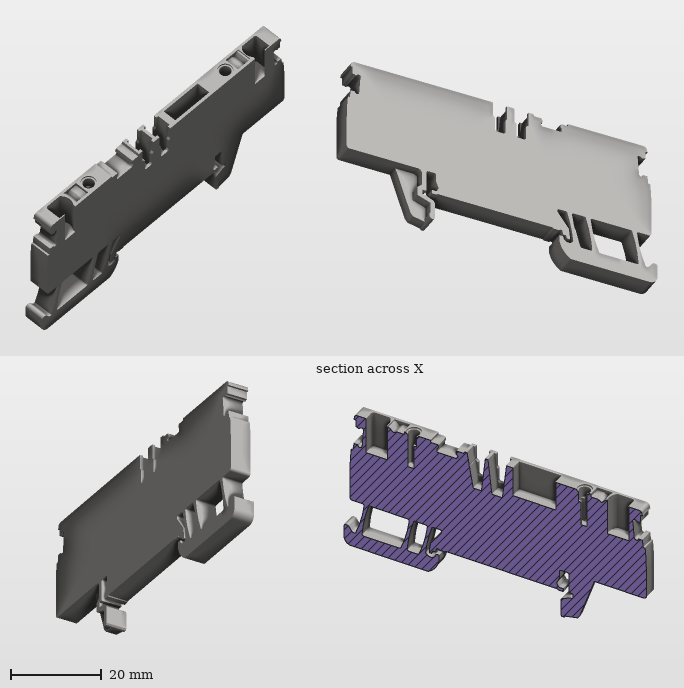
import cadquery as cq
THICKNESS = 5.1
HEIGHT = 36.1
FOOT_END_Y = -38.5
BODY_CENTRE_Y = 0.8
BODY_HALF_LENGTH = 37.75
BODY_BOTTOM_Z = 12.5
BODY_CORNER_RADIUS = 0.7
RAIL_FACE_Z = 7.1
OVERLAP = 0.8

SLOT_FLOOR_Z = 28.6
SLOT_POCKET_FLOOR_Z = 27.05
SLOT_STEP_Z = 32.6
SLOT_POCKET_HALF_WIDTH = 1.8
SLOT_SHAPES = [
    ((-1.15, 2.2), (-0.8, 1.8), (-1.8, 2.85), (-0.8, 1.8)),
    ((-6.55, -3.1), (-5.85, -3.55), (-7.1, -2.55), (-5.55, -3.55)),
]
SLOT_CORNER = 0.3
SLOT_STEP_DROP = 0.5

MARKER_Y_RANGE = (4.6, 15.4)
MARKER_HALF_WIDTH = 1.8
MARKER_DEPTH = 7.55

WIRING_CENTRE_Y = 0.6
WIRE_OUTER = 33.35
WIRE_INNER = 29.0
WIRE_BULGE = 28.0
WIRE_NEAR_X = -1.9
WIRE_FAR_X = 2.3
WIRE_CORNER_RADIUS = 0.55
WIRE_DEPTH = 9.25
WALL_GAP_RANGE = (28.6, 31.8)

RECESS_RANGE = (23.8, 27.8)
RECESS_HALF_WIDTH = 1.89
RECESS_DEPTH = 0.8
GROOVE_START = 25.6
GROOVE_BOTTOM = 26.5
GROOVE_END = 27.4
GROOVE_DEPTH = 1.3
OUTER_STEP_DEPTH = 0.4
SCREW_DISTANCE = 21.7
SCREW_MOUTH_RADIUS = 1.8
SCREW_MOUTH_DEPTH = 0.4
SCREW_RADIUS = 1.4
SCREW_DEPTH = 9.25
POST_TOP_DEPTH = 3.1
POST_HALF_GAP = 0.55
POST_SETBACK = 0.4

FOOT_TOP_Z = 3.85
LEG_OFFSETS = (0, -4.6, -16.1)
CHANNEL_Y = -16.4
CHANNEL_Z = 5.55
CHANNEL_RADIUS = 1.3
WINDOW_CORNER_RADIUS = 0.4

WEB_THICKNESS = 2.8


def plate(outline):
    """Extrude a closed YZ outline over the full thickness."""
    return outline.close().extrude(THICKNESS / 2, both=True)


def sketch(start_y, start_z):
    return cq.Workplane("YZ").moveTo(start_y, start_z)


def polygon_plate(points):
    return plate(cq.Workplane("YZ").polyline(points))


def box_between(x_range, y_range, z_range):
    size = [high - low for low, high in (x_range, y_range, z_range)]
    corner = [low for low, high in (x_range, y_range, z_range)]
    return cq.Workplane("XY").box(*size, centered=False).translate(tuple(corner))


def at_both_ends(shape, centre_y):
    """Repeat a shape drawn on the +Y side of a centre plane on both sides of that plane."""
    mirrored = shape.mirror("XZ")
    return shape.union(mirrored).translate((0, centre_y, 0))


def body_plate():
    """Main housing: one half, drawn outward from the body centre, repeated on both ends."""
    half = plate(
        sketch(0, HEIGHT)
        .lineTo(35.75, HEIGHT)
        .threePointArc((36.5, 35.75), (36.7, 35.2))
        .lineTo(36.8, 34.75)
        .lineTo(36.3, 34.75)
        .lineTo(36.3, 32.9)
        .lineTo(35.75, 32.8)
        .lineTo(35.5, 32.6)
        .lineTo(35.2, 32.8)
        .threePointArc((34.6, 33.05), (34.35, 32.3))
        .lineTo(34.7, 28.2)
        .threePointArc((35.1, 27.7), (35.7, 28.3))
        .lineTo(36.75, 28.3)
        .lineTo(37.0, 26.35)
        .lineTo(37.45, 26.35)
        .threePointArc((37.7, 23.5), (BODY_HALF_LENGTH, 20.65))
        .lineTo(BODY_HALF_LENGTH, BODY_BOTTOM_Z)
        .lineTo(0, BODY_BOTTOM_Z)
    )
    half = half.edges("|X").edges(">Y").edges("<Z").fillet(BODY_CORNER_RADIUS)
    return at_both_ends(half, BODY_CENTRE_Y)


def rail_seat():
    """Block under the body with a lip on one side and a hooked tooth on the other."""
    top = BODY_BOTTOM_Z + OVERLAP
    return polygon_plate([
        (16.4, top), (16.4, 10.3), (15.7, 8.7), (16.25, 7.8), (17.4, 7.8), (17.4, 6.85),
        (16.1, 6.85), (15.95, RAIL_FACE_Z), (-12.55, RAIL_FACE_Z), (-12.8, 6.85), (-14.2, 6.85),
        (-14.4, RAIL_FACE_Z), (-14.9, RAIL_FACE_Z), (-15.1, 6.0), (-15.8, 6.0), (-16.1, 5.25),
        (-16.8, 5.25), (-16.7, 6.55), (-16.5, 8.0), (-13.7, 11.7), (-13.7, top),
    ])


def foot():
    """Foot bar with a rounded heel, a round channel under the tooth and an end lip."""
    bar = plate(
        sketch(-14.2, CHANNEL_Z)
        .lineTo(-14.2, 4.0)
        .threePointArc((-15.1, 1.85), (-17.0, 0))
        .lineTo(-36.7, 0)
        .threePointArc((-38.0, 0.6), (FOOT_END_Y, 1.9))
        .lineTo(FOOT_END_Y, 4.9)
        .threePointArc((-37.75, 5.4), (-37.05, 4.9))
        .lineTo(-36.5, 4.2)
        .threePointArc((-35.8, FOOT_TOP_Z), (-35.05, 4.4))
        .lineTo(-34.4, 4.4)
        .lineTo(-34.4, FOOT_TOP_Z)
        .lineTo(-17.9, FOOT_TOP_Z)
        .lineTo(-17.9, CHANNEL_Z)
    )
    channel = plate_circle(CHANNEL_Y, CHANNEL_Z, CHANNEL_RADIUS)
    return bar.cut(channel)


def plate_circle(y, z, radius):
    return cq.Workplane("YZ").center(y, z).circle(radius).extrude(THICKNESS / 2, both=True)


def leg(offset):
    """Curved spring leg between the body and the foot."""
    return plate(
        sketch(offset - 16.0, BODY_BOTTOM_Z + OVERLAP)
        .lineTo(offset - 16.0, BODY_BOTTOM_Z)
        .threePointArc((offset - 17.2, 8.1), (offset - 17.7, FOOT_TOP_Z))
        .lineTo(offset - 17.7, FOOT_TOP_Z - OVERLAP)
        .lineTo(offset - 19.5, FOOT_TOP_Z - OVERLAP)
        .lineTo(offset - 19.5, FOOT_TOP_Z)
        .threePointArc((offset - 17.95, 8.5), (offset - 17.25, BODY_BOTTOM_Z))
        .lineTo(offset - 17.25, BODY_BOTTOM_Z + OVERLAP)
    )


def clip():
    """Rail clip: cranked strip over the full thickness, with a web on its outer side."""
    top = BODY_BOTTOM_Z + OVERLAP
    strip = plate(
        sketch(20.8, top)
        .lineTo(20.8, BODY_BOTTOM_Z)
        .threePointArc((20.2, 12.2), (19.9, 11.55))
        .lineTo(19.9, 8.4)
        .lineTo(21.0, 7.5)
        .lineTo(21.0, 5.3)
        .lineTo(17.8, 4.15)
        .lineTo(17.8, 1.55)
        .lineTo(18.0, 1.2)
        .lineTo(18.0, 0.55)
        .lineTo(17.6, 0)
        .lineTo(16.95, 0)
        .lineTo(16.65, 0.4)
        .lineTo(16.65, 4.15)
        .threePointArc((16.9, 4.8), (17.5, 5.2))
        .lineTo(18.95, 5.85)
        .lineTo(19.7, 5.9)
        .lineTo(19.7, 7.1)
        .lineTo(18.7, 7.1)
        .lineTo(18.7, top)
    )
    web = (
        cq.Workplane("YZ", origin=(THICKNESS / 2, 0, 0))
        .polyline([
            (25.3, top), (25.3, BODY_BOTTOM_Z), (21.6, 1.8), (20.95, 1.0), (17.95, 0.4),
            (17.7, 4.15), (20.8, 5.4), (20.8, 7.5), (19.65, 8.5), (19.65, top),
        ])
        .close()
        .extrude(-WEB_THICKNESS)
    )
    return strip.union(web)


def slot(upper_range, lower_range, mouth_range, floor_range):
    """Bridge slot: stepped through the side walls, tapered and wider between them."""
    upper_minus, upper_plus = upper_range
    lower_minus, lower_plus = lower_range
    mouth_minus, mouth_plus = mouth_range
    floor_minus, floor_plus = floor_range
    top = HEIGHT + OVERLAP
    through = polygon_plate([
        (upper_plus, top), (upper_plus, SLOT_STEP_Z),
        (lower_plus, SLOT_STEP_Z - SLOT_STEP_DROP), (lower_plus, SLOT_FLOOR_Z + SLOT_CORNER),
        (lower_plus - SLOT_CORNER, SLOT_FLOOR_Z), (lower_minus + SLOT_CORNER, SLOT_FLOOR_Z),
        (lower_minus, SLOT_FLOOR_Z + SLOT_CORNER), (lower_minus, SLOT_STEP_Z - SLOT_STEP_DROP),
        (upper_minus, SLOT_STEP_Z), (upper_minus, top),
    ])
    pocket = (
        cq.Workplane("YZ")
        .polyline([
            (mouth_plus, HEIGHT), (floor_plus, SLOT_POCKET_FLOOR_Z),
            (floor_minus, SLOT_POCKET_FLOOR_Z), (mouth_minus, HEIGHT),
        ])
        .close()
        .extrude(SLOT_POCKET_HALF_WIDTH, both=True)
    )
    return through.union(pocket)


def snap_groove():
    """Undercut groove in the top with a shallow step on each side."""
    step_z = 35.6
    return polygon_plate([
        (-7.7, HEIGHT), (-8.0, step_z), (-9.8, step_z), (-10.1, 34.75), (-9.55, 34.2),
        (-9.55, 33.9), (-9.9, 33.5), (-14.7, 33.5), (-14.7, 34.4), (-14.4, 34.7),
        (-14.4, 35.35), (-14.6, step_z), (-16.3, step_z), (-16.3, HEIGHT),
    ])


def wire_opening():
    """Funnel with a bulged inner end, open through a gap in the +X wall."""
    funnel = (
        cq.Workplane("XY", origin=(0, 0, HEIGHT))
        .moveTo(WIRE_FAR_X, WIRE_OUTER)
        .lineTo(WIRE_NEAR_X, WIRE_OUTER)
        .lineTo(WIRE_NEAR_X, WIRE_INNER)
        .threePointArc(((WIRE_NEAR_X + WIRE_FAR_X) / 2, WIRE_BULGE), (WIRE_FAR_X, WIRE_INNER))
        .close()
        .extrude(-WIRE_DEPTH)
        .edges("|Z")
        .edges(">Y")
        .edges("<X")
        .fillet(WIRE_CORNER_RADIUS)
    )
    gap = box_between((0, THICKNESS / 2), WALL_GAP_RANGE, (HEIGHT - WIRE_DEPTH, HEIGHT))
    return funnel.union(gap)


def stepped_recess():
    """Shallow recess with a V groove across its outer part."""
    inner, outer = RECESS_RANGE
    floor = HEIGHT - RECESS_DEPTH
    return (
        cq.Workplane("YZ")
        .polyline([
            (inner, HEIGHT), (inner, floor), (GROOVE_START, floor),
            (GROOVE_BOTTOM, HEIGHT - GROOVE_DEPTH), (GROOVE_END, HEIGHT - OUTER_STEP_DEPTH),
            (outer, HEIGHT - OUTER_STEP_DEPTH), (outer, HEIGHT),
        ])
        .close()
        .extrude(RECESS_HALF_WIDTH, both=True)
    )


def screw_hole():
    """Counterbored round hole with two square-cornered posts on the side facing the centre."""
    mouth = cq.Workplane("XY", origin=(0, SCREW_DISTANCE, HEIGHT))
    bore = mouth.circle(SCREW_RADIUS).extrude(-SCREW_DEPTH)
    post_y_range = (SCREW_DISTANCE - SCREW_RADIUS, SCREW_DISTANCE - POST_SETBACK)
    post_z_range = (HEIGHT - SCREW_DEPTH, HEIGHT - POST_TOP_DEPTH)
    for post_x_range in ((-SCREW_RADIUS, -POST_HALF_GAP), (POST_HALF_GAP, SCREW_RADIUS)):
        bore = bore.cut(box_between(post_x_range, post_y_range, post_z_range))
    return bore.union(mouth.circle(SCREW_MOUTH_RADIUS).extrude(-SCREW_MOUTH_DEPTH))


def round_window_corners(part):
    """Round the corners of the openings around the legs and beside the clip."""
    for z in (FOOT_TOP_Z, BODY_BOTTOM_Z):
        corners = cq.selectors.BoxSelector((-0.8, -33.9, z - 0.1), (0.8, 19.25, z + 0.1))
        part = part.edges("|X").edges(corners).fillet(WINDOW_CORNER_RADIUS)
    return part


result = body_plate().union(rail_seat()).union(foot()).union(clip())
for leg_offset in LEG_OFFSETS:
    result = result.union(leg(leg_offset))
result = round_window_corners(result)

for slot_shape in SLOT_SHAPES:
    result = result.cut(slot(*slot_shape))
result = result.cut(snap_groove())
result = result.cut(
    box_between(
        (-MARKER_HALF_WIDTH, MARKER_HALF_WIDTH), MARKER_Y_RANGE, (HEIGHT - MARKER_DEPTH, HEIGHT)
    )
)
for end_feature in (wire_opening(), stepped_recess(), screw_hole()):
    result = result.cut(at_both_ends(end_feature, WIRING_CENTRE_Y))